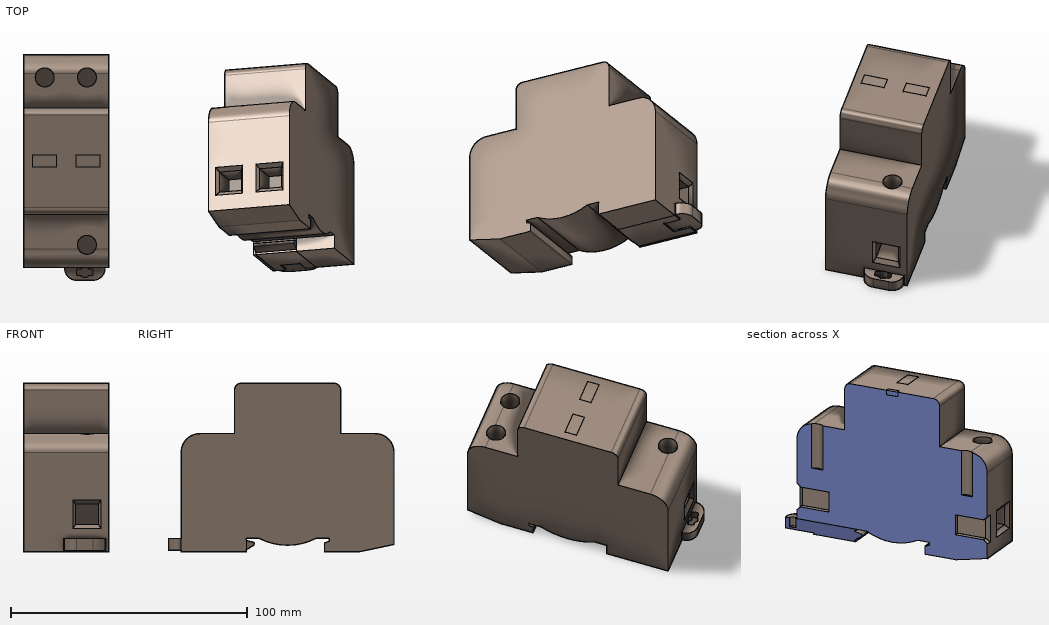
import cadquery as cq

width = 35.9
length = 90.0
height = 71.29
half_length = length / 2

shoulder_height = 50.0
shoulder_radius = 8.0
crown_half_length = length / 4
crown_radius = 3.0
heel_height = 3.1
heel_end_y = 30.3

groove_top = 5.7
groove_wall_y = -17.4
hook_wall_y = 17.5
hook_tip_y = 15.5
hook_root_height = 4.5
hook_tip_height = 3.8
hook_edge_radius = 0.3
belly_half_length = 12.05
belly_bottom = 2.75

screw_diameter = 8.0
screw_depth = 20.0
screw_inset = 9.65
left_pole_x = -9.1
right_pole_x = 8.75
terminal_mouth_width = 11.9
terminal_mouth_height = 12.2
terminal_throat_width = 9.8
terminal_throat_height = 8.8
terminal_center_height = 15.9
terminal_funnel_depth = 1.7
terminal_depth = 15.0

window_width = 10.1
window_length = 5.15
window_depth = 2.0
window_x = 9.2

clip_center_x = 7.85
clip_width = 17.9
clip_recess_width = 8.7
clip_recess_length = 8.0
tab_width = 17.15
tab_bottom = 0.6
tab_reach = 5.35
tab_radius = 5.1
nose_apex_y = -12.9
nose_apex_height = 3.75
nose_top_height = 4.83
nose_bottom_height = 0.85
nose_tip_radius = 0.75

tool_slot_width = 7.1
tool_slot_length = 2.75
tool_slot_corner_radius = 0.8
tool_slot_bulge_radius = 2.2
tool_slot_depth = 4.0
tool_slot_y = -half_length - 1.95


def side_prism(outline, center_x, depth):
    """Extrude a YZ outline along X, centred on center_x."""
    return outline.extrude(depth / 2, both=True).translate((center_x, 0, 0))


def box_between(center_x, size_x, y_range, z_range):
    """Box centred on center_x that spans the given Y and Z ranges."""
    size_y = y_range[1] - y_range[0]
    size_z = z_range[1] - z_range[0]
    corner_box = cq.Workplane("XY").box(size_x, size_y, size_z, centered=(True, False, False))
    return corner_box.translate((center_x, y_range[0], z_range[0]))


def housing_block():
    outline = (
        cq.Workplane("YZ")
        .moveTo(-half_length, 0)
        .lineTo(groove_wall_y, 0)
        .lineTo(groove_wall_y, groove_top)
        .lineTo(-belly_half_length, groove_top)
        .threePointArc((0, belly_bottom), (belly_half_length, groove_top))
        .lineTo(hook_wall_y, groove_top)
        .lineTo(hook_wall_y, hook_root_height)
        .lineTo(hook_tip_y, hook_tip_height)
        .lineTo(hook_tip_y, 0)
        .lineTo(heel_end_y, 0)
        .lineTo(half_length, heel_height)
        .lineTo(half_length, shoulder_height)
        .lineTo(crown_half_length, shoulder_height)
        .lineTo(crown_half_length, height)
        .lineTo(-crown_half_length, height)
        .lineTo(-crown_half_length, shoulder_height)
        .lineTo(-half_length, shoulder_height)
        .close()
    )
    block = side_prism(outline, 0, width)
    for side in (-1, 1):
        shoulder = cq.selectors.NearestToPointSelector((0, side * half_length, shoulder_height))
        crown = cq.selectors.NearestToPointSelector((0, side * crown_half_length, height))
        block = block.edges(shoulder).fillet(shoulder_radius)
        block = block.edges(crown).fillet(crown_radius)
    for hook_edge_height in (0, hook_tip_height):
        hook_edge = cq.selectors.NearestToPointSelector((0, hook_tip_y, hook_edge_height))
        block = block.edges(hook_edge).fillet(hook_edge_radius)
    return block


def screw_hole(x, side):
    """Blind screw access hole in a shoulder; side is -1 or +1 along Y."""
    return (
        cq.Workplane("XY", origin=(x, side * (half_length - screw_inset), shoulder_height))
        .circle(screw_diameter / 2)
        .extrude(-screw_depth)
    )


def terminal_opening(x, side):
    """Funnel mouth and straight throat in an end face; side is -1 or +1 along Y."""
    mouth_plane = cq.Plane(
        origin=(x, side * half_length, terminal_center_height),
        xDir=(1, 0, 0),
        normal=(0, -side, 0),
    )
    funnel = (
        cq.Workplane(mouth_plane)
        .rect(terminal_mouth_width, terminal_mouth_height)
        .workplane(offset=terminal_funnel_depth)
        .rect(terminal_throat_width, terminal_throat_height)
        .loft(ruled=True)
    )
    throat = (
        cq.Workplane(mouth_plane)
        .rect(terminal_throat_width, terminal_throat_height)
        .extrude(terminal_depth)
    )
    return funnel.union(throat)


def make_window(x):
    return box_between(
        x,
        window_width,
        (-window_length / 2, window_length / 2),
        (height - window_depth, height),
    )


def make_housing():
    housing = housing_block()
    for x, side in ((right_pole_x, -1), (left_pole_x, 1), (right_pole_x, 1)):
        housing = housing.cut(screw_hole(x, side))
        housing = housing.cut(terminal_opening(x, side))
    for side in (-1, 1):
        housing = housing.cut(make_window(side * window_x))
    channel = box_between(clip_center_x, clip_width, (-half_length, groove_wall_y), (0, groove_top))
    return housing.cut(channel)


def clip_nose():
    """Wedge that catches the rail, standing out of the channel."""
    outline = (
        cq.Workplane("YZ")
        .moveTo(groove_wall_y, nose_bottom_height)
        .lineTo(nose_apex_y, nose_apex_height)
        .lineTo(groove_wall_y, nose_top_height)
        .close()
    )
    nose = side_prism(outline, clip_center_x, clip_width)
    return nose.edges("|X and >Y").fillet(nose_tip_radius)


def clip_tab():
    """Rounded finger tab standing out of the housing end face."""
    tab = box_between(
        clip_center_x,
        tab_width,
        (-half_length - tab_reach, -half_length),
        (tab_bottom, groove_top),
    )
    return tab.edges("|Z and <Y").fillet(tab_radius)


def tool_slot():
    """Rounded rectangle with a round bulge, sunk into the top of the tab."""
    floor = groove_top - tool_slot_depth
    half_slot = tool_slot_length / 2
    rectangle = box_between(
        clip_center_x,
        tool_slot_width,
        (tool_slot_y - half_slot, tool_slot_y + half_slot),
        (floor, groove_top),
    )
    bulge = (
        cq.Workplane("XY", origin=(clip_center_x, tool_slot_y, floor))
        .circle(tool_slot_bulge_radius)
        .extrude(tool_slot_depth)
    )
    return rectangle.edges("|Z").fillet(tool_slot_corner_radius).union(bulge)


def make_clip():
    slide = box_between(clip_center_x, clip_width, (-half_length, groove_wall_y), (0, groove_top))
    recess = box_between(
        clip_center_x,
        clip_recess_width,
        (-half_length, -half_length + clip_recess_length),
        (0, tab_bottom),
    )
    return slide.cut(recess).union(clip_tab()).union(clip_nose()).cut(tool_slot())


housing = make_housing()
clip = make_clip()
windows = [make_window(side * window_x) for side in (-1, 1)]

result = cq.Compound.makeCompound([housing.val(), clip.val(), *[window.val() for window in windows]])